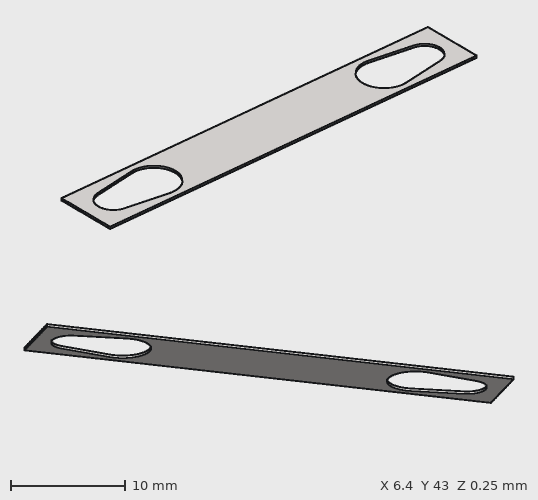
import cadquery as cq
import math

width = 6.4
length = 43.0
thickness = 0.25

wide_radius = 2.5
narrow_radius = 1.75
wide_center_y = 13.5
narrow_center_y = 18.25


def keyhole_cutter():
    """Prism with two arcs joined by their common tangent lines, at the +Y end."""
    spacing = narrow_center_y - wide_center_y
    tangent_angle = math.asin((wide_radius - narrow_radius) / spacing)
    across = math.cos(tangent_angle)
    along = math.sin(tangent_angle)

    wide_x = wide_radius * across
    wide_y = wide_center_y + wide_radius * along
    narrow_x = narrow_radius * across
    narrow_y = narrow_center_y + narrow_radius * along

    return (
        cq.Workplane("XY")
        .moveTo(wide_x, wide_y)
        .lineTo(narrow_x, narrow_y)
        .threePointArc((0, narrow_center_y + narrow_radius), (-narrow_x, narrow_y))
        .lineTo(-wide_x, wide_y)
        .threePointArc((0, wide_center_y - wide_radius), (wide_x, wide_y))
        .close()
        .extrude(thickness)
    )


def strip():
    return cq.Workplane("XY").box(width, length, thickness, centered=(True, True, False))


upper_keyhole = keyhole_cutter()
lower_keyhole = upper_keyhole.mirror("XZ")

result = strip().cut(upper_keyhole).cut(lower_keyhole)